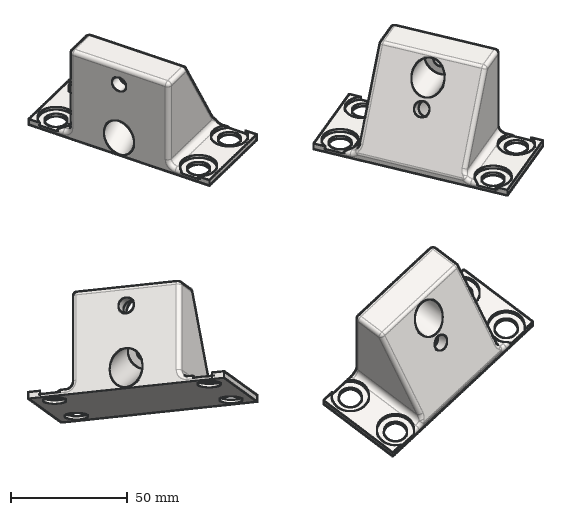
import cadquery as cq
import math

length = 90.0
depth = 40.0
height = 46.0
plate_thickness = 3.0
block_width = 50.0
slope_angle = 60.0

edge_radius = 2.0
foot_radius = 3.0

mount_spacing_x = 71.0
mount_spacing_y = 26.0
mount_diameter = 10.0
mount_recess_diameter = 16.0
mount_floor = 1.5

screw_diameter = 7.0
head_diameter = 15.0
head_seat = 6.0
level_screw_height = 37.0
tilted_screw_height = 9.2

margin = 0.1

front_y = -depth / 2
rear_y = depth / 2
slope_tangent = math.tan(math.radians(slope_angle))
slope_top_y = rear_y - (height - plate_thickness) / slope_tangent

recess_x = mount_spacing_x / 2
recess_y = mount_spacing_y / 2
opening_half = math.sqrt((mount_recess_diameter / 2) ** 2 - (rear_y - recess_y) ** 2)
rounded_half = recess_x + opening_half


def upright_body():
    """Block, foot arcs and the inner part of the plate as one section along Y."""
    block_x = block_width / 2
    foot_top = plate_thickness + foot_radius
    foot_x = block_x + foot_radius
    diagonal = foot_radius * math.sqrt(0.5)
    arc_x = foot_x - diagonal
    arc_z = foot_top - diagonal
    return (
        cq.Workplane("XZ", origin=(0, rear_y, 0))
        .moveTo(-rounded_half, 0)
        .lineTo(rounded_half, 0)
        .lineTo(rounded_half, plate_thickness)
        .lineTo(foot_x, plate_thickness)
        .threePointArc((arc_x, arc_z), (block_x, foot_top))
        .lineTo(block_x, height)
        .lineTo(-block_x, height)
        .lineTo(-block_x, foot_top)
        .threePointArc((-arc_x, arc_z), (-foot_x, plate_thickness))
        .lineTo(-rounded_half, plate_thickness)
        .close()
        .extrude(depth)
    )


def rear_slope():
    """Material removed behind the sloping rear face, with a rounded foot."""
    lean = math.radians(90 - slope_angle)
    tangent_length = edge_radius * math.tan(lean / 2)
    arc_center_y = rear_y - edge_radius
    arc_center_z = plate_thickness - tangent_length

    def arc_point(angle):
        return (arc_center_y + edge_radius * math.cos(angle), arc_center_z + edge_radius * math.sin(angle))

    return (
        cq.Workplane("YZ")
        .moveTo(*arc_point(0))
        .threePointArc(arc_point(lean / 2), arc_point(lean))
        .lineTo(slope_top_y, height)
        .lineTo(rear_y, height)
        .close()
        .extrude(block_width / 2 + foot_radius, both=True)
    )


def round_edges(body, wanted):
    """Fillet every edge of the body that satisfies the given test."""
    picked = [edge for edge in body.edges().vals() if wanted(edge)]
    return body.newObject(picked).fillet(edge_radius)


def on_section_rim(edge):
    """True for rim edges of the front or rear face, bar the bottom and the plate ends."""
    center = edge.Center()
    on_end_face = abs(center.y) > rear_y - margin
    inside_ends = abs(center.x) < rounded_half - margin
    return on_end_face and inside_ends and center.z > margin


def on_front_rim(edge):
    return on_section_rim(edge) and edge.Center().y < 0


def on_rear_rim(edge):
    return on_section_rim(edge) and edge.Center().y > 0


def on_top(edge):
    return edge.Center().z > height - margin


def on_slope_side(edge):
    """True for the two slanted edges where the slope meets the block sides."""
    start = edge.startPoint()
    end = edge.endPoint()
    rises = abs(end.z - start.z) > height / 2
    leans = abs(end.y - start.y) > depth / 2
    return rises and leans


def rounded_body():
    """Sloping block whose rounded front rim is matched by a rounded rear plate rim."""
    upright = round_edges(upright_body(), on_rear_rim)
    return round_edges(
        upright.cut(rear_slope()),
        lambda edge: on_front_rim(edge) or on_top(edge) or on_slope_side(edge),
    )


def plate_ends():
    """Square-edged plate outside the rounded stretch."""
    end_length = length / 2 - rounded_half
    end_x = (length / 2 + rounded_half) / 2
    return (
        cq.Workplane("XY")
        .pushPoints([(-end_x, 0), (end_x, 0)])
        .rect(end_length, depth)
        .extrude(plate_thickness)
    )


def mount_cutters():
    """Through holes and round recesses at the four corners of the plate."""
    corners = cq.Workplane("XY").rect(mount_spacing_x, mount_spacing_y, forConstruction=True).vertices()
    holes = corners.circle(mount_diameter / 2).extrude(plate_thickness)
    recesses = (
        cq.Workplane("XY", origin=(0, 0, mount_floor))
        .rect(mount_spacing_x, mount_spacing_y, forConstruction=True)
        .vertices()
        .circle(mount_recess_diameter / 2)
        .extrude(plate_thickness - mount_floor)
    )
    return holes.union(recesses)


def rod(start, direction, diameter, reach):
    """Cylinder from a start point along a direction."""
    return cq.Workplane("XY").add(cq.Solid.makeCylinder(diameter / 2, reach, start, direction))


def level_screw_cutter():
    """Level hole from the front, with its head bore opening on the slope."""
    front = cq.Vector(0, front_y, level_screw_height)
    seat = front + cq.Vector(0, head_seat, 0)
    rearward = cq.Vector(0, 1, 0)
    screw = rod(front, rearward, screw_diameter, depth)
    return screw.union(rod(seat, rearward, head_diameter, depth))


def tilted_screw_cutter():
    """Hole square to the slope, with its head bore opening on the front face."""
    tilt = math.radians(90 - slope_angle)
    outward = cq.Vector(0, math.cos(tilt), math.sin(tilt))
    front = cq.Vector(0, front_y, tilted_screw_height)
    foot_of_slope = cq.Vector(0, rear_y, plate_thickness)
    slope_distance = (foot_of_slope - front).dot(outward)
    seat = front + outward * (slope_distance - head_seat)
    start = front - outward * depth
    head = rod(seat, outward * -1, head_diameter, depth)
    return head.union(rod(start, outward, screw_diameter, 2 * depth + slope_distance))


result = (
    rounded_body()
    .union(plate_ends())
    .cut(mount_cutters())
    .cut(level_screw_cutter())
    .cut(tilted_screw_cutter())
)